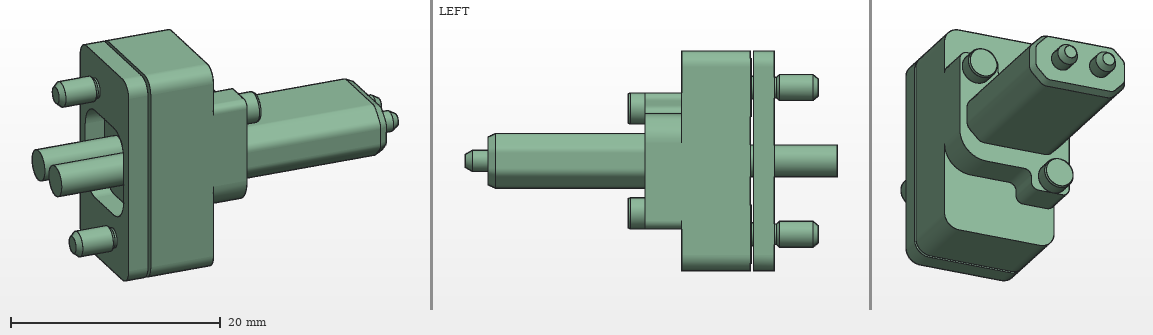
import cadquery as cq
import math

WIDTH = 11.5
HEIGHT = 21.0
CORNER_RADIUS = 1.5

PROBE_LENGTH = 2.15
HOUSING_LENGTH = 15.0
FLANGE_THICKNESS = 3.5
BODY_THICKNESS = 6.55
PLATE_GAP = 0.3
PLATE_THICKNESS = 2.0
CABLE_PROTRUSION = 6.0
PIN_PROTRUSION = 4.2

HOUSING_END = FLANGE_THICKNESS + HOUSING_LENGTH
BODY_FRONT = -BODY_THICKNESS
PLATE_BACK = BODY_FRONT - PLATE_GAP
PLATE_FRONT = PLATE_BACK - PLATE_THICKNESS
CABLE_END = PLATE_FRONT - CABLE_PROTRUSION
PIN_END = PLATE_FRONT - PIN_PROTRUSION

WINDOW_SIZE = 9.1
WINDOW_RADIUS = 2.35

BAR_TOP = 4.5
BAR_RADIUS = 2.75
LOBE_TOP = 6.5
LOBE_SIDE_X = 1.75
LOBE_RADIUS = 0.75

HOUSING_WIDTH = 10.0
HOUSING_HEIGHT = 5.25
HOUSING_CHAMFER = 1.42
HOUSING_EDGE_RADIUS = 1.05
HOUSING_TIP_LENGTH = 0.75
HOUSING_TIP_INSET = 0.35

SCREW_X = 4.0
SCREW_Z = 5.0
SCREW_DIAMETER = 3.0
SCREW_HEIGHT = 1.6
SCREW_BEVEL_LENGTH = 0.2
SCREW_BEVEL_INSET = 0.1

CONTACT_X = 2.0
PROBE_DIAMETER = 2.05
PROBE_TIP_DIAMETER = 1.25
PROBE_TIP_LENGTH = 0.68
CABLE_DIAMETER = 3.05

PIN_X = 2.0
PIN_Z = 7.0
PIN_DIAMETER = 2.5
PIN_SHANK_DIAMETER = 2.2
PIN_NECK_DIAMETER = 2.0
PIN_NECK_LENGTH = 0.2
PIN_SHOULDER_LENGTH = 0.3
PIN_TIP_DIAMETER = 1.65
PIN_TIP_LENGTH = 0.52
HEXAGON_ACROSS_CORNERS = 5.55
HEXAGON_THICKNESS = 0.1


def section_at(y):
    """Workplane at the given station facing -Y, with local x = X and local y = Z."""
    return cq.Workplane("XZ", origin=(0, y, 0))


def rounded_block(width, height, radius, y_back, y_front):
    """Rectangular block between two stations with rounded lengthwise edges."""
    block = section_at(y_back).rect(width, height).extrude(y_back - y_front)
    return block.edges("|Y").fillet(radius)


def turned(x, z, stations):
    """Solid of revolution about a line along Y, from (y, diameter) stations."""
    profile = [(diameter / 2, y) for y, diameter in stations]
    outline = [(0, stations[0][0])] + profile + [(0, stations[-1][0])]
    solid = cq.Workplane("XY").polyline(outline).close().revolve(360, (0, 0), (0, 1))
    return solid.translate((x, 0, z))


def main_body():
    return rounded_block(WIDTH, HEIGHT, CORNER_RADIUS, 0, BODY_FRONT)


def front_plate():
    plate = rounded_block(WIDTH, HEIGHT, CORNER_RADIUS, PLATE_BACK, PLATE_FRONT)
    window = rounded_block(WINDOW_SIZE, WINDOW_SIZE, WINDOW_RADIUS, PLATE_BACK, PLATE_FRONT)
    return plate.cut(window)


def fillet_corners(solid, corners, radius):
    """Round the lengthwise flange edges at (x, z) corners and at their half-turn mirror points."""
    picked = solid.newObject([])
    for x, z in corners + [(-x, -z) for x, z in corners]:
        nearest = cq.selectors.NearestToPointSelector((x, FLANGE_THICKNESS / 2, z))
        picked = picked.add(solid.edges(nearest))
    return picked.fillet(radius)


def flange():
    bar_corner = (-WIDTH / 2, BAR_TOP)
    lobe_corners = [
        (LOBE_SIDE_X, BAR_TOP),
        (LOBE_SIDE_X, LOBE_TOP),
        (WIDTH / 2, LOBE_TOP),
    ]
    half_outline = [bar_corner] + lobe_corners
    outline = half_outline + [(-x, -z) for x, z in half_outline]
    solid = section_at(FLANGE_THICKNESS).polyline(outline).close().extrude(FLANGE_THICKNESS)
    solid = fillet_corners(solid, lobe_corners, LOBE_RADIUS)
    return fillet_corners(solid, [bar_corner], BAR_RADIUS)


def probe_housing():
    outline = (
        cq.Sketch()
        .rect(HOUSING_HEIGHT, HOUSING_WIDTH)
        .vertices()
        .chamfer(HOUSING_CHAMFER)
        .reset()
        .vertices()
        .fillet(HOUSING_EDGE_RADIUS)
    )
    tip_start = HOUSING_END - HOUSING_TIP_LENGTH
    taper = math.degrees(math.atan2(HOUSING_TIP_INSET, HOUSING_TIP_LENGTH))
    base_plane = cq.Workplane("ZX", origin=(0, FLANGE_THICKNESS, 0))
    tip_plane = cq.Workplane("ZX", origin=(0, tip_start, 0))
    straight = base_plane.placeSketch(outline).extrude(tip_start - FLANGE_THICKNESS)
    tip = tip_plane.placeSketch(outline).extrude(HOUSING_TIP_LENGTH, taper=taper)
    return straight.union(tip)


def screw_head(x, z):
    top = FLANGE_THICKNESS + SCREW_HEIGHT
    return turned(x, z, [
        (FLANGE_THICKNESS, SCREW_DIAMETER),
        (top - SCREW_BEVEL_LENGTH, SCREW_DIAMETER),
        (top, SCREW_DIAMETER - 2 * SCREW_BEVEL_INSET),
    ])


def probe(x):
    tip = HOUSING_END + PROBE_LENGTH
    return turned(x, 0, [
        (HOUSING_END, PROBE_DIAMETER),
        (tip - PROBE_TIP_LENGTH, PROBE_DIAMETER),
        (tip, PROBE_TIP_DIAMETER),
    ])


def cable(x):
    return turned(x, 0, [(BODY_FRONT, CABLE_DIAMETER), (CABLE_END, CABLE_DIAMETER)])


def guide_pin(x, z):
    shoulder = PLATE_FRONT - PIN_NECK_LENGTH
    return turned(x, z, [
        (BODY_FRONT, PIN_SHANK_DIAMETER),
        (PLATE_FRONT, PIN_SHANK_DIAMETER),
        (PLATE_FRONT, PIN_NECK_DIAMETER),
        (shoulder, PIN_NECK_DIAMETER),
        (shoulder - PIN_SHOULDER_LENGTH, PIN_DIAMETER),
        (PIN_END + PIN_TIP_LENGTH, PIN_DIAMETER),
        (PIN_END, PIN_TIP_DIAMETER),
    ])


def pin_hexagon(x, z):
    """Thin hexagonal spacer around a guide pin, with corners pointing along Z."""
    plane = cq.Workplane("ZX", origin=(x, BODY_FRONT, z))
    return plane.polygon(6, HEXAGON_ACROSS_CORNERS).extrude(-HEXAGON_THICKNESS)


result = main_body().union(flange()).union(probe_housing()).union(front_plate())
for side in (-1, 1):
    result = result.union(screw_head(side * SCREW_X, side * SCREW_Z))
    result = result.union(probe(side * CONTACT_X))
    result = result.union(cable(side * CONTACT_X))
    result = result.union(guide_pin(side * PIN_X, -side * PIN_Z))
    result = result.union(pin_hexagon(side * PIN_X, -side * PIN_Z))